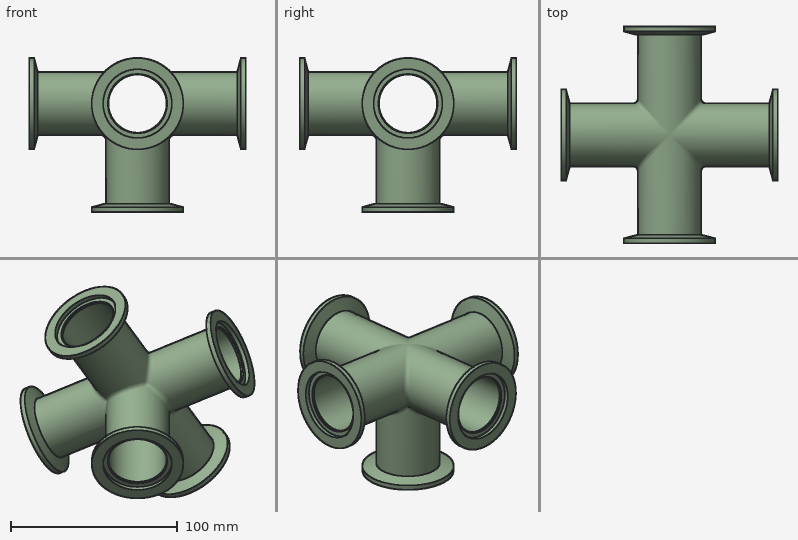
import cadquery as cq

pipe_diameter = 38.1
bore_diameter = 34.8
junction_fillet = 2.5

end_distance = 65.0
flange_diameter = 54.9
rim_thickness = 3.0
flange_length = 5.1
seal_recess_diameter = 41.2
seal_recess_depth = 2.6
lip_bore_diameter = 35.58
lip_thickness = 1.2
socket_diameter = 38.35
land_width = 0.5

pipe_end_distance = end_distance - seal_recess_depth - lip_thickness

arm_directions = [(1, 0, 0), (-1, 0, 0), (0, 1, 0), (0, -1, 0), (0, 0, -1)]


def crossing_rods(diameter):
    """Two full-length horizontal rods crossing at the origin, plus one going down from it."""
    radius = diameter / 2
    rod_x = cq.Workplane("YZ").circle(radius).extrude(pipe_end_distance, both=True)
    rod_y = cq.Workplane("XZ").circle(radius).extrude(pipe_end_distance, both=True)
    rod_down = cq.Workplane("XY").circle(radius).extrude(-pipe_end_distance)
    return rod_x.union(rod_y).union(rod_down)


def make_cross():
    """Five-way pipe: filleted along the outer junctions, then bored through."""
    outside = crossing_rods(pipe_diameter)
    junctions = outside.edges("%ELLIPSE")
    return junctions.fillet(junction_fillet).cut(crossing_rods(bore_diameter))


def make_flange(direction):
    """Clamp flange revolved about one arm; local X is the radius, local Y the depth from the face."""
    outer = flange_diameter / 2
    recess = seal_recess_diameter / 2
    lip = lip_bore_diameter / 2
    socket = socket_diameter / 2
    shoulder_depth = seal_recess_depth + lip_thickness
    arm_axis = cq.Vector(*direction)
    radial = cq.Vector(direction[1], direction[2], direction[0])
    profile_plane = cq.Plane(
        origin=arm_axis * end_distance,
        xDir=radial,
        normal=radial.cross(-arm_axis),
    )
    return (
        cq.Workplane(profile_plane)
        .moveTo(recess, 0)
        .lineTo(outer, 0)
        .lineTo(outer, rim_thickness)
        .lineTo(socket + land_width, flange_length)
        .lineTo(socket, flange_length)
        .lineTo(socket, shoulder_depth)
        .lineTo(lip, shoulder_depth)
        .lineTo(lip, seal_recess_depth)
        .lineTo(recess, seal_recess_depth)
        .close()
        .revolve(360, (0, 0), (0, 1))
    )


cross = make_cross()
flanges = [make_flange(direction).val() for direction in arm_directions]

result = cq.Compound.makeCompound([cross.val(), *flanges])